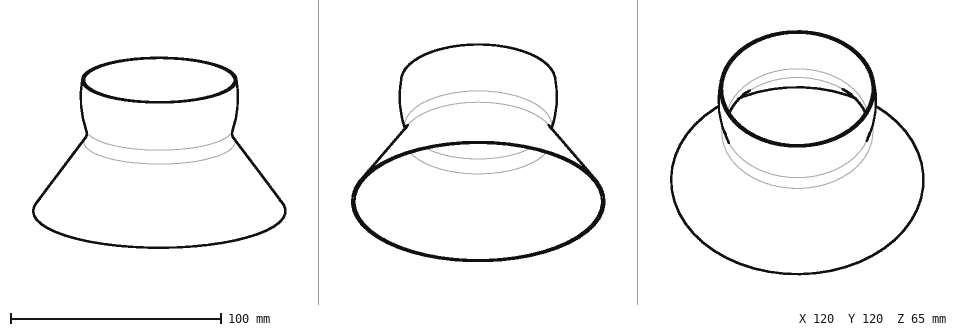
import cadquery as cq
import math

base_radius = 60.0
height = 65.0
wall = 1.0
bulge_radius = 37.4
bulge_height = 56.5
bulge_curve = 50.0
neck_radius = 34.5
neck_curve = 7.4

bulge_centre_r = bulge_radius - bulge_curve
neck_centre_r = neck_radius + neck_curve
centre_offset_r = neck_centre_r - bulge_centre_r
centre_distance = bulge_curve + neck_curve
centre_drop = math.sqrt(centre_distance**2 - centre_offset_r**2)
neck_height = bulge_height - centre_drop

barrel_angle = math.asin(centre_drop / centre_distance)
base_offset_r = base_radius - neck_centre_r
base_distance = math.hypot(base_offset_r, neck_height)
cone_angle = math.atan2(base_offset_r, neck_height) + math.asin(neck_curve / base_distance)


def bulge_point(z, inset):
    """Point on the barrel arc at height z, moved inward by the inset."""
    curve = bulge_curve - inset
    return (bulge_centre_r + math.sqrt(curve**2 - (z - bulge_height) ** 2), z)


def neck_point(angle, inset):
    """Point on the neck arc at an angle above its narrowest point."""
    curve = neck_curve + inset
    return (neck_centre_r - curve * math.cos(angle), neck_height + curve * math.sin(angle))


def turned_body(inset):
    """Solid of revolution under the outer surface moved inward by the inset."""
    joint = neck_point(barrel_angle, inset)
    bottom_radius = base_radius - inset / math.cos(cone_angle)
    middle_height = (joint[1] + height) / 2
    return (
        cq.Workplane("XZ")
        .moveTo(0, 0)
        .lineTo(bottom_radius, 0)
        .lineTo(*neck_point(-cone_angle, inset))
        .threePointArc(neck_point(0, inset), joint)
        .threePointArc(bulge_point(middle_height, inset), bulge_point(height, inset))
        .lineTo(0, height)
        .close()
        .revolve(360, (0, 0, 0), (0, 1, 0))
    )


result = turned_body(0).cut(turned_body(wall))